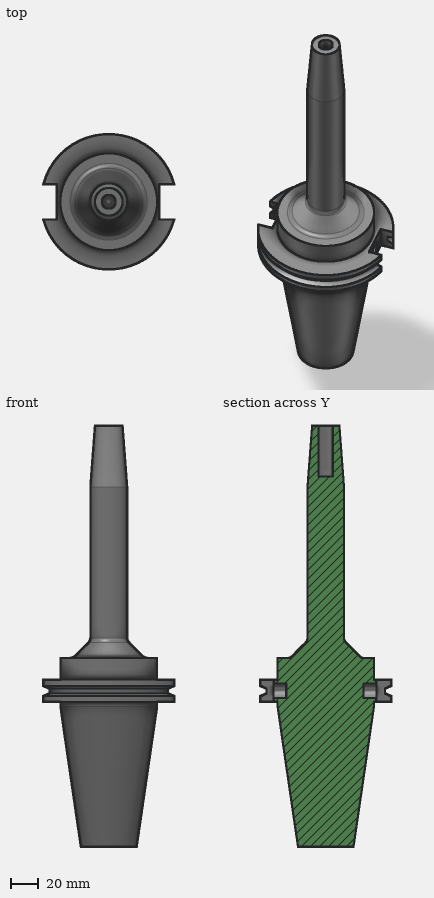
import cadquery as cq
import math

TOTAL_LENGTH = 304.8
TAPER_LENGTH = 101.5
FLANGE_BOTTOM = 105.0
FLANGE_TOP = 121.0
BOSS_TOP = 137.0
NOSE_START = 260.3

GAUGE_RADIUS = 35.0
TAPER_RATIO = 7 / 24
TAPER_END_RADIUS = GAUGE_RADIUS - TAPER_LENGTH * TAPER_RATIO / 2
FLANGE_RADIUS = 49.0
BOSS_RADIUS = 35.0
SHANK_RADIUS = 13.5
NOSE_TIP_RADIUS = 10.0

BLEND_RADIUS = 5.0
SHANK_BLEND_TOP = 151.2

GROOVE_FLOOR_RADIUS = 44.8
GROOVE_BOTTOM = 109.0
GROOVE_TOP = 116.5
GROOVE_FLANK_HEIGHT = 1.98

SLOT_WIDTH = 25.3
SLOT_FLOORS = {-1: 37.8, 1: 36.5}
SLOT_HOLE_DIAMETER = 10.0
SLOT_HOLE_DEPTH = 9.0

BORE_DIAMETER = 10.0
BORE_DEPTH = 36.5


def blend_point(center, degrees):
    """Point on a blend arc at the given angle about its center."""
    angle = math.radians(degrees)
    return (center[0] + BLEND_RADIUS * math.cos(angle), center[1] + BLEND_RADIUS * math.sin(angle))


def make_body():
    """Revolve the half profile, drawn as (radius, height), about Z."""
    upper_center = (SHANK_RADIUS + BLEND_RADIUS, SHANK_BLEND_TOP)
    lower_center_height = BOSS_TOP + BLEND_RADIUS
    lower_center = (upper_center[0] + upper_center[1] - lower_center_height, lower_center_height)
    return (
        cq.Workplane("XZ")
        .lineTo(TAPER_END_RADIUS, 0)
        .lineTo(GAUGE_RADIUS, TAPER_LENGTH)
        .lineTo(GAUGE_RADIUS, FLANGE_BOTTOM)
        .lineTo(FLANGE_RADIUS, FLANGE_BOTTOM)
        .lineTo(FLANGE_RADIUS, GROOVE_BOTTOM)
        .lineTo(GROOVE_FLOOR_RADIUS, GROOVE_BOTTOM + GROOVE_FLANK_HEIGHT)
        .lineTo(GROOVE_FLOOR_RADIUS, GROOVE_TOP - GROOVE_FLANK_HEIGHT)
        .lineTo(FLANGE_RADIUS, GROOVE_TOP)
        .lineTo(FLANGE_RADIUS, FLANGE_TOP)
        .lineTo(BOSS_RADIUS, FLANGE_TOP)
        .lineTo(BOSS_RADIUS, BOSS_TOP)
        .lineTo(lower_center[0], BOSS_TOP)
        .threePointArc(blend_point(lower_center, 247.5), blend_point(lower_center, 225))
        .lineTo(*blend_point(upper_center, 225))
        .threePointArc(blend_point(upper_center, 202.5), (SHANK_RADIUS, SHANK_BLEND_TOP))
        .lineTo(SHANK_RADIUS, NOSE_START)
        .lineTo(NOSE_TIP_RADIUS, TOTAL_LENGTH)
        .lineTo(0, TOTAL_LENGTH)
        .close()
        .revolve(360, (0, 0, 0), (0, 1, 0))
    )


def make_drive_slot(side, floor_distance):
    """Cutter for one drive slot and its hole; side is +1 or -1 along X."""
    slot_depth = FLANGE_RADIUS - floor_distance
    flange_thickness = FLANGE_TOP - FLANGE_BOTTOM
    flange_middle = (FLANGE_TOP + FLANGE_BOTTOM) / 2
    slot = cq.Workplane("XY").box(slot_depth, SLOT_WIDTH, flange_thickness)
    slot = slot.translate((side * (floor_distance + slot_depth / 2), 0, flange_middle))
    hole = (
        cq.Workplane("YZ", origin=(side * floor_distance, 0, flange_middle))
        .circle(SLOT_HOLE_DIAMETER / 2)
        .extrude(-side * SLOT_HOLE_DEPTH)
    )
    return slot.union(hole)


result = make_body()
for slot_side, slot_floor in SLOT_FLOORS.items():
    result = result.cut(make_drive_slot(slot_side, slot_floor))
result = result.faces(">Z").workplane().hole(BORE_DIAMETER, BORE_DEPTH)